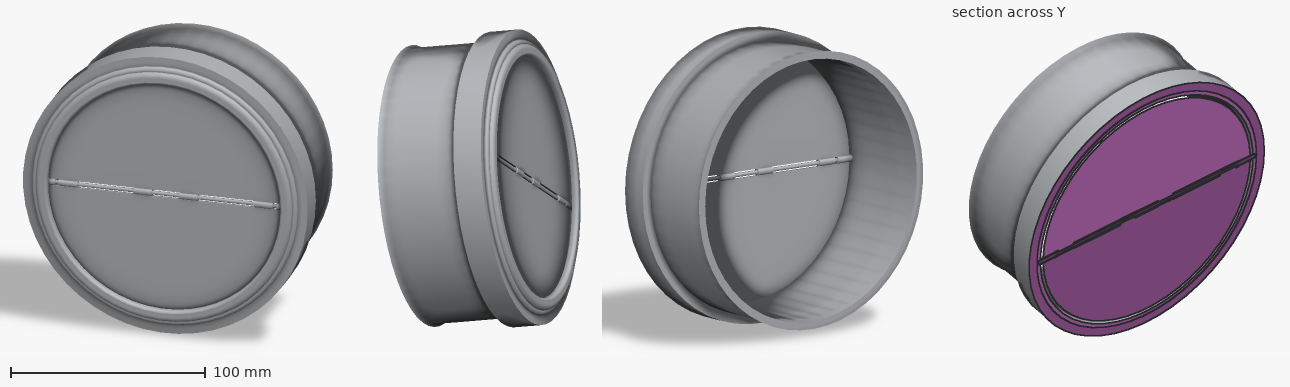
import cadquery as cq
import math


depth = 61.9
duct_radius = 71.2
wall_inner_radius = 68.6
lip_bore_radius = 62.5
lip_back = 3.4
lip_flat_inner = 63.7
lip_flat_outer = 66.1
mouth_round_depth = 1.7
mouth_bulge = 0.3
step_radius = 68.7
step_setback = 2.3
step_bulge = 0.6
nose_end = 4.3
nose_bulge = 0.8
flare_radius = 72.7
flare_length = 3.4

band_radius = 76.2
band_front = nose_end
band_width = 15.0

flap_radius = 67.0
flap_thickness = 1.5
hinge_gap = 3.7
hinge_setback = 6.4

pin_radius = 1.0
pin_seat_depth = 1.5
knuckle_radius = hinge_gap / 2
boss_inner_end = 59.3
outer_knuckle = (47.2, 57.3)
inner_knuckle = (7.5, 17.0)

pin_half_length = wall_inner_radius + pin_seat_depth


def hinge_cylinder(radius, start, end):
    """Cylinder on the hinge axis, from X = start to X = end."""
    return (
        cq.Workplane("YZ", origin=(start, hinge_setback, 0))
        .circle(radius)
        .extrude(end - start)
    )


def bulged_middle(start, end, bulge):
    """Middle point of an arc bowing out to the right of the way from start to end."""
    run_x = end[0] - start[0]
    run_y = end[1] - start[1]
    chord = math.hypot(run_x, run_y)
    return (
        (start[0] + end[0]) / 2 + bulge * run_y / chord,
        (start[1] + end[1]) / 2 - bulge * run_x / chord,
    )


def duct_tube():
    """Thin tube with a lipped, two-step rounded nose and a flared back end."""
    mouth_start = (lip_bore_radius, mouth_round_depth)
    lip_inner = (lip_flat_inner, 0)
    lip_outer = (lip_flat_outer, 0)
    step_corner = (step_radius, step_setback)
    wall_start = (duct_radius, nose_end)

    profile = (
        cq.Workplane("XY")
        .moveTo(wall_inner_radius, depth)
        .lineTo(wall_inner_radius, lip_back)
        .lineTo(lip_bore_radius, lip_back)
        .lineTo(*mouth_start)
        .threePointArc(bulged_middle(mouth_start, lip_inner, mouth_bulge), lip_inner)
        .lineTo(*lip_outer)
        .threePointArc(bulged_middle(lip_outer, step_corner, step_bulge), step_corner)
        .threePointArc(bulged_middle(step_corner, wall_start, nose_bulge), wall_start)
        .lineTo(duct_radius, depth - flare_length)
        .tangentArcPoint((flare_radius, depth), relative=False)
        .close()
    )
    return profile.revolve(360, (0, 0, 0), (0, 1, 0))


def make_duct():
    """Duct collar with a boss on each side of the bore to hold the pin."""
    wall_middle = (wall_inner_radius + duct_radius) / 2
    bosses = (
        hinge_cylinder(knuckle_radius, boss_inner_end, wall_middle)
        .union(hinge_cylinder(knuckle_radius, -wall_middle, -boss_inner_end))
    )
    return duct_tube().union(bosses).cut(make_pin())


def make_band():
    """Sealing band around the front of the duct."""
    return (
        cq.Workplane("XZ", origin=(0, band_front, 0))
        .circle(band_radius)
        .circle(duct_radius)
        .extrude(-band_width)
    )


def make_pin():
    """Straight hinge pin, seated at both ends in the duct wall."""
    return hinge_cylinder(pin_radius, -pin_half_length, pin_half_length)


def flap_plate():
    """Upper part of a disc, cut off straight above the hinge."""
    edge_height = hinge_gap / 2
    half_edge = math.sqrt(flap_radius ** 2 - edge_height ** 2)
    return (
        cq.Workplane("XZ", origin=(0, hinge_setback - flap_thickness / 2, 0))
        .moveTo(-half_edge, edge_height)
        .threePointArc((0, flap_radius), (half_edge, edge_height))
        .close()
        .extrude(-flap_thickness)
    )


def knuckle(start, end):
    """Hinge barrel with the web that ties it to the edge of the plate."""
    web = (
        cq.Workplane("XY", origin=(start, hinge_setback, 0))
        .box(end - start, flap_thickness, hinge_gap / 2, centered=(False, True, False))
    )
    return web.union(hinge_cylinder(knuckle_radius, start, end))


def make_flap():
    """Upper flap: plate with an outer knuckle at -X and an inner knuckle at +X."""
    outer = knuckle(-outer_knuckle[1], -outer_knuckle[0])
    inner = knuckle(*inner_knuckle)
    return flap_plate().union(outer).union(inner).cut(make_pin())


duct = make_duct()
band = make_band()
pin = make_pin()

flaps = []
for angle in (0, 180):
    flaps.append(make_flap().rotate((0, 0, 0), (0, 1, 0), angle).val())

result = cq.Compound.makeCompound([duct.val(), band.val(), pin.val(), *flaps])